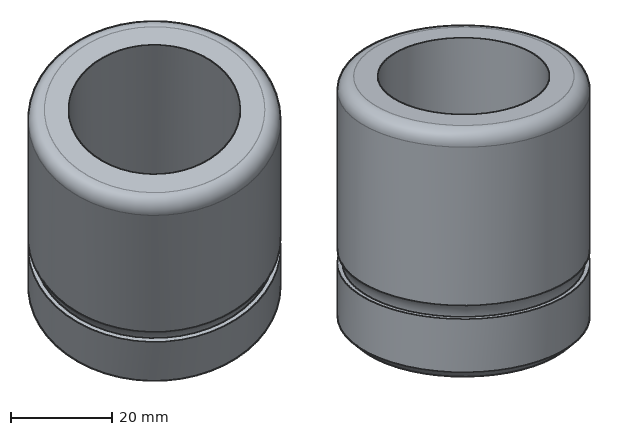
import cadquery as cq
import math

outer_diameter = 50.0
bore_diameter = 34.0
height = 55.0
top_fillet = 3.2
chamfer_size = 2.0
groove_floor_z = 13.75
groove_height = 3.0
groove_depth = 1.0

outer_radius = outer_diameter / 2
bore_radius = bore_diameter / 2
groove_radius = outer_radius - groove_depth
groove_top_z = groove_floor_z + groove_height

groove_arc_radius = (groove_height**2 + groove_depth**2) / (2 * groove_depth)
groove_arc_half_angle = math.asin(groove_height / groove_arc_radius) / 2
groove_arc_midpoint = (
    groove_radius + groove_arc_radius * (1 - math.cos(groove_arc_half_angle)),
    groove_floor_z + groove_arc_radius * math.sin(groove_arc_half_angle),
)

fillet_diagonal = top_fillet * math.sqrt(0.5)
fillet_midpoint = (
    outer_radius - top_fillet + fillet_diagonal,
    height - top_fillet + fillet_diagonal,
)


def make_bush():
    """Revolve the wall section (radius, height) around the Z axis."""
    section = (
        cq.Workplane("XZ")
        .moveTo(bore_radius, 0)
        .lineTo(outer_radius - chamfer_size, 0)
        .lineTo(outer_radius, chamfer_size)
        .lineTo(outer_radius, groove_floor_z)
        .lineTo(groove_radius, groove_floor_z)
        .threePointArc(groove_arc_midpoint, (outer_radius, groove_top_z))
        .lineTo(outer_radius, height - top_fillet)
        .threePointArc(fillet_midpoint, (outer_radius - top_fillet, height))
        .lineTo(bore_radius, height)
        .close()
    )
    return section.revolve(360, (0, 0, 0), (0, 1, 0))


result = make_bush()